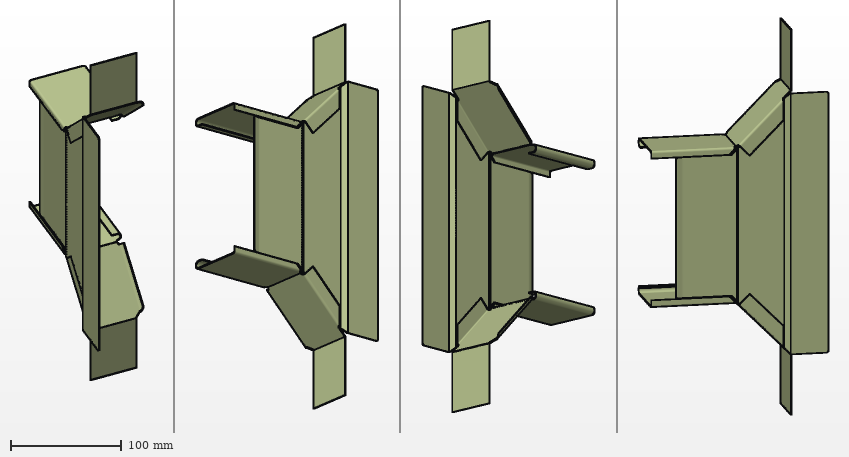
import cadquery as cq
import math

TOTAL_HEIGHT = 358.3
TOTAL_LENGTH = 163.0
TOTAL_DEPTH = 61.3
SHEET = 1.0

KINK_X = 79.0
RAIL_HALF = 72.7
TAB_X = 130.5
TAB_TOP_Y = 52.5

LIP_Y = 4.5
LIP_BEND = 2.0
STRAIGHT_LIP = 6.8
SLANT_LIP = 14.5
HOOK_RADIUS = 4.0
HOOK_TAIL = 5.5
WALL_LOW_Y = LIP_Y + LIP_BEND
HOOK_Y = TOTAL_DEPTH - HOOK_RADIUS

STRAIGHT_FOLD_END = 77.0
LIP_END_X = 122.0
SLANT_FOLD_GAP = 2.5
HOOK_END_X = 126.5
NOTCH_SIZE = 2.0
RELIEF_RADIUS = 1.5

PLATE_LEFT = 23.0
END_FLAT = 1.5
END_STEP_RUN = 4.5
END_BEND = 7.0
TONGUE_HALF = 65.5
TONGUE_RISE = 1.0
TONGUE_Y = LIP_Y + TONGUE_RISE
MIDDLE_STEP_RUN = 1.0
MIDDLE_X = 79.0
FLARE = 4.5
FLANGE_STEP_X = 123.2
FLANGE_HALF = 121.5
CORNER = 1.5

DIAGONAL = math.sqrt(0.5)
SLANT_RISE = RAIL_HALF - KINK_X
TAB_OUTER_X = TAB_X - SHEET
LIP_TIP_X = KINK_X + (SLANT_FOLD_GAP + SLANT_LIP) * DIAGONAL
LIP_TIP_Z = RAIL_HALF + (SLANT_FOLD_GAP - SLANT_LIP) * DIAGONAL


def offset_path(points, distance):
    """Points of an open path moved sideways to its left by a distance, with mitred corners."""
    angles = [math.atan2(b[1] - a[1], b[0] - a[0]) for a, b in zip(points, points[1:])]
    before = [angles[0]] + angles
    after = angles + [angles[-1]]
    moved = []
    for (u, v), a, b in zip(points, before, after):
        middle = (a + b) / 2
        reach = distance / math.cos((b - a) / 2)
        moved.append((u - reach * math.sin(middle), v + reach * math.cos(middle)))
    return moved


def sheet_outline(points, distance):
    """Closed outline of a sheet that lies on the left of a path."""
    return points + offset_path(points, distance)[::-1]


def prism_along_y(outline, y_low, y_high):
    """Solid over an outline in X and Z, between two depths."""
    return cq.Workplane("XZ", origin=(0, y_low, 0)).polyline(outline).close().extrude(y_low - y_high)


def prism_along_z(outline):
    """Solid over an outline in X and Y, through the whole height."""
    return cq.Workplane("XY").polyline(outline).close().extrude(TOTAL_HEIGHT / 2, both=True)


def folded_run(start, angle, length, lip, full_hook):
    """Wall with a lip and a curled edge, running from (X, Z) at an angle; it lies right of the run.

    A full hook turns by 180 degrees and ends in a straight tail; otherwise the curl turns by 90.
    """
    direction = (math.cos(angle), 0, math.sin(angle))
    inward = (math.sin(angle), 0, -math.cos(angle))
    plane = cq.Plane(origin=(start[0], 0, start[1]), xDir=inward, normal=direction)
    side = plane.yDir.y
    hook_width = 2 * HOOK_RADIUS
    arc_inside = HOOK_RADIUS - SHEET
    bend_inside = LIP_BEND - SHEET

    def at(depth, y):
        return (depth, side * y)

    def bend_middle(radius):
        return at(LIP_BEND - radius * DIAGONAL, WALL_LOW_Y - radius * DIAGONAL)

    def crest_middle(radius):
        return at(HOOK_RADIUS - radius * DIAGONAL, HOOK_Y + radius * DIAGONAL)

    def hook_middle(radius):
        return at(HOOK_RADIUS + radius * DIAGONAL, HOOK_Y + radius * DIAGONAL)

    section = (
        cq.Workplane(plane)
        .moveTo(*at(lip, LIP_Y))
        .lineTo(*at(LIP_BEND, LIP_Y))
        .threePointArc(bend_middle(LIP_BEND), at(0, WALL_LOW_Y))
        .lineTo(*at(0, HOOK_Y))
        .threePointArc(crest_middle(HOOK_RADIUS), at(HOOK_RADIUS, TOTAL_DEPTH))
    )
    if full_hook:
        section = (
            section
            .threePointArc(hook_middle(HOOK_RADIUS), at(hook_width, HOOK_Y))
            .lineTo(*at(hook_width, HOOK_Y - HOOK_TAIL))
            .lineTo(*at(hook_width - SHEET, HOOK_Y - HOOK_TAIL))
            .lineTo(*at(hook_width - SHEET, HOOK_Y))
            .threePointArc(hook_middle(arc_inside), at(HOOK_RADIUS, HOOK_Y + arc_inside))
        )
    else:
        section = section.lineTo(*at(HOOK_RADIUS, HOOK_Y + arc_inside))
    section = (
        section
        .threePointArc(crest_middle(arc_inside), at(SHEET, HOOK_Y))
        .lineTo(*at(SHEET, WALL_LOW_Y))
        .threePointArc(bend_middle(bend_inside), at(LIP_BEND, LIP_Y + SHEET))
        .lineTo(*at(lip, LIP_Y + SHEET))
        .close()
    )
    return section.extrude(length)


def straight_run():
    run = folded_run((0, RAIL_HALF), 0, STRAIGHT_FOLD_END, STRAIGHT_LIP, full_hook=True)
    corner = [
        (STRAIGHT_FOLD_END, RAIL_HALF - LIP_BEND),
        (STRAIGHT_FOLD_END, RAIL_HALF - STRAIGHT_LIP),
        (STRAIGHT_FOLD_END - STRAIGHT_LIP + LIP_BEND, RAIL_HALF - STRAIGHT_LIP),
    ]
    return run.cut(prism_along_y(corner, LIP_Y, WALL_LOW_Y))


def slanted_run():
    gap = SLANT_FOLD_GAP * DIAGONAL
    length = (TAB_X - KINK_X) / DIAGONAL
    start = (KINK_X + gap, RAIL_HALF + gap)
    run = folded_run(start, math.pi / 4, length, SLANT_LIP, full_hook=False)
    kept = [
        (0, 0),
        (LIP_END_X, 0),
        (LIP_END_X, WALL_LOW_Y),
        (HOOK_END_X, WALL_LOW_Y),
        (HOOK_END_X, TOTAL_DEPTH),
        (0, TOTAL_DEPTH),
    ]
    return run.intersect(prism_along_z(kept))


def rail():
    """Upper rail: straight wall, slanted wall and upright tab bent from one sheet."""
    path = [
        (0, RAIL_HALF),
        (KINK_X, RAIL_HALF),
        (TAB_OUTER_X, TAB_OUTER_X + SLANT_RISE),
        (TAB_OUTER_X, TOTAL_HEIGHT / 2),
    ]
    wall = prism_along_y(sheet_outline(path, -SHEET), WALL_LOW_Y, HOOK_Y)
    above_tab = [
        (HOOK_END_X, HOOK_Y),
        (TAB_OUTER_X, TAB_TOP_Y),
        (TOTAL_LENGTH, TAB_TOP_Y),
        (TOTAL_LENGTH, HOOK_Y),
    ]
    notch = [
        (KINK_X - NOTCH_SIZE, HOOK_Y),
        (KINK_X, HOOK_Y - NOTCH_SIZE),
        (KINK_X + NOTCH_SIZE, HOOK_Y),
    ]
    relief = (
        cq.Workplane("XY")
        .center(KINK_X, WALL_LOW_Y)
        .circle(RELIEF_RADIUS)
        .extrude(TOTAL_HEIGHT)
    )
    bent = wall.union(straight_run()).union(slanted_run())
    return bent.cut(prism_along_z(above_tab)).cut(prism_along_z(notch)).cut(relief)


def cover_plate():
    """Stepped plate that fits between the lips and carries the outer flange."""
    profile = [
        (PLATE_LEFT, LIP_Y),
        (PLATE_LEFT + END_FLAT, LIP_Y),
        (PLATE_LEFT + END_FLAT + END_STEP_RUN, TONGUE_Y),
        (MIDDLE_X, TONGUE_Y),
        (MIDDLE_X + MIDDLE_STEP_RUN, LIP_Y),
        (FLANGE_STEP_X, LIP_Y),
        (FLANGE_STEP_X + LIP_Y, 0),
        (TOTAL_LENGTH, 0),
    ]
    sheet = prism_along_z(sheet_outline(profile, SHEET))
    end_bends = cq.selectors.BoxSelector(
        (PLATE_LEFT + SHEET / 2, 0, -TOTAL_HEIGHT),
        (MIDDLE_X - FLARE, TOTAL_DEPTH, TOTAL_HEIGHT),
    )
    sheet = sheet.edges("|Z").edges(end_bends).fillet(END_BEND)
    upper_edge = [
        (PLATE_LEFT, TONGUE_HALF - CORNER),
        (PLATE_LEFT + CORNER, TONGUE_HALF),
        (MIDDLE_X - FLARE, TONGUE_HALF),
        (MIDDLE_X, TONGUE_HALF + FLARE),
        (MIDDLE_X, RAIL_HALF),
        (LIP_TIP_X + LIP_TIP_Z - RAIL_HALF, RAIL_HALF),
        (LIP_TIP_X, LIP_TIP_Z),
        (LIP_END_X, LIP_TIP_Z + LIP_END_X - LIP_TIP_X),
        (LIP_END_X, LIP_END_X + SLANT_RISE),
        (FLANGE_HALF - SLANT_RISE, FLANGE_HALF),
        (TOTAL_LENGTH - CORNER, FLANGE_HALF),
        (TOTAL_LENGTH, FLANGE_HALF - CORNER),
    ]
    lower_edge = [(x, -z) for x, z in upper_edge[::-1]]
    return sheet.intersect(prism_along_y(upper_edge + lower_edge, 0, TOTAL_DEPTH))


plate = cover_plate()
upper_rail = rail()
lower_rail = upper_rail.mirror("XY")

result = cq.Compound.makeCompound([*plate.solids().vals(), *upper_rail.solids().vals(), *lower_rail.solids().vals()])